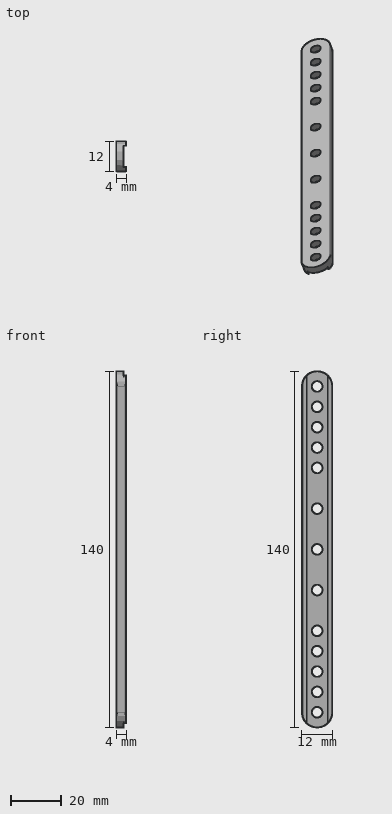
import cadquery as cq

thickness = 4.0
width = 12.0
length = 140.0

edge_radius = 0.5

channel_width = 8.2
channel_depth = 1.0

hole_diameter = 4.1
hole_pitch = 8.0
hole_steps = [-8, -7, -6, -5, -4, -2, 0, 2, 4, 5, 6, 7, 8]


def rounded_blank():
    """Rectangular bar whose four long edges are rounded, centred on the origin."""
    return cq.Workplane("XY").box(thickness, width, length).edges("|Z").fillet(edge_radius)


def round_ended_outline():
    """Prism that trims both ends of the bar to full half circles."""
    return cq.Workplane("YZ").slot2D(length, width, 90).extrude(thickness / 2, both=True)


def channel_cutter():
    """Full-length rectangular channel in the +X face."""
    channel_x = thickness / 2 - channel_depth / 2
    return cq.Workplane("XY").box(channel_depth, channel_width, length).translate((channel_x, 0, 0))


def hole_cutter():
    """Row of through holes along the centre line."""
    return (
        cq.Workplane("YZ")
        .pushPoints([(0, step * hole_pitch) for step in hole_steps])
        .circle(hole_diameter / 2)
        .extrude(thickness / 2, both=True)
    )


bar = round_ended_outline().intersect(rounded_blank())
result = bar.cut(channel_cutter()).cut(hole_cutter())